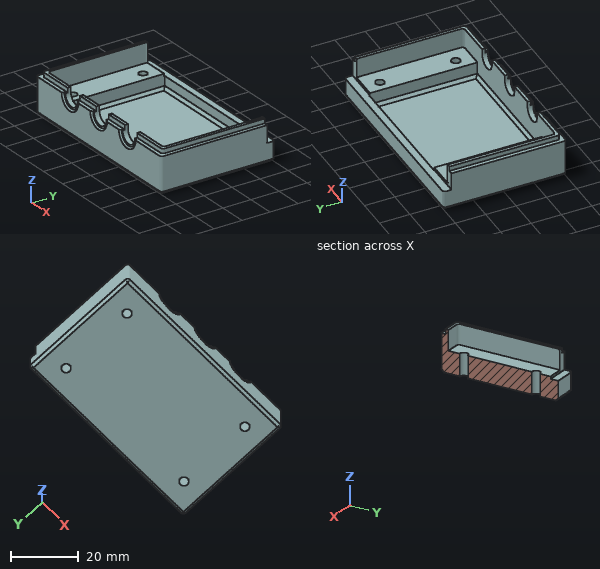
import cadquery as cq

length = 65.6
width = 40.6
height = 14.2
corner_radius = 1.0
bottom_chamfer = 1.0
wall = 2.5

lip_height = 1.6
lip_inset = 1.4
lip_corner_radius = 1.0
shoulder_z = height - lip_height

rear_wall_z = 6.7
rear_step_depth = 2.7

ledge_z = 7.5
floor_z = 2.5
pocket_length = 42.65
floor_chamfer = 1.0

hole_diameter = 2.8
hole_spacing_x = 50.0
hole_spacing_y = 25.0

notch_count = 3
notch_spacing = 15.0
notch_radius = 3.2
notch_step_radius = 3.8
notch_mouth_radius = 4.4
notch_mouth_depth = 0.6

front_y = -width / 2
rear_y = width / 2
cavity_length = length - 2 * wall
cavity_width = width - 2 * wall


def block(size_x, size_y, bottom, top):
    """Centred rectangular block between two heights."""
    return (
        cq.Workplane("XY")
        .workplane(offset=bottom)
        .rect(size_x, size_y)
        .extrude(top - bottom)
    )


def make_shell():
    """Outer body with a narrower lip standing on its shoulder."""
    body = block(length, width, 0, shoulder_z).edges("|Z").fillet(corner_radius)
    body = body.faces("<Z").edges().chamfer(bottom_chamfer)
    lip = block(length - 2 * lip_inset, width - 2 * lip_inset, shoulder_z, height)
    return body.union(lip.edges("|Z").fillet(lip_corner_radius))


def make_cavity():
    """Space above the ledges joined to the deeper central pocket."""
    upper = block(cavity_length, cavity_width, ledge_z, height)
    upper = upper.edges("|Z").fillet(lip_corner_radius)
    pocket = block(pocket_length, cavity_width, floor_z, height)
    pocket = pocket.faces("<Z").edges().chamfer(floor_chamfer)
    return upper.union(pocket)


def make_rear_step():
    """Strip removed above the low rear wall, across the full length."""
    strip = block(length, rear_step_depth, rear_wall_z, height)
    return strip.translate((0, rear_y - rear_step_depth / 2, 0))


def make_notch(x):
    """Round cable seat, open at the top, with a stepped conical mouth."""
    profile = [
        (0, front_y),
        (notch_mouth_radius, front_y),
        (notch_step_radius, front_y + notch_mouth_depth),
        (notch_radius, front_y + notch_mouth_depth),
        (notch_radius, front_y + wall),
        (0, front_y + wall),
    ]
    seat = cq.Workplane("XY").polyline(profile).close().revolve(360, (0, 0, 0), (0, 1, 0))
    opening = cq.Workplane("XY").box(
        2 * notch_radius, wall, lip_height, centered=(True, False, False)
    )
    opening = opening.translate((0, front_y, 0))
    return seat.union(opening).translate((x, 0, shoulder_z))


result = make_shell().cut(make_cavity()).cut(make_rear_step())

for index in range(notch_count):
    notch_x = (index - (notch_count - 1) / 2) * notch_spacing
    result = result.cut(make_notch(notch_x))

screw_holes = (
    cq.Workplane("XY")
    .rect(hole_spacing_x, hole_spacing_y, forConstruction=True)
    .vertices()
    .circle(hole_diameter / 2)
    .extrude(height)
)
result = result.cut(screw_holes)